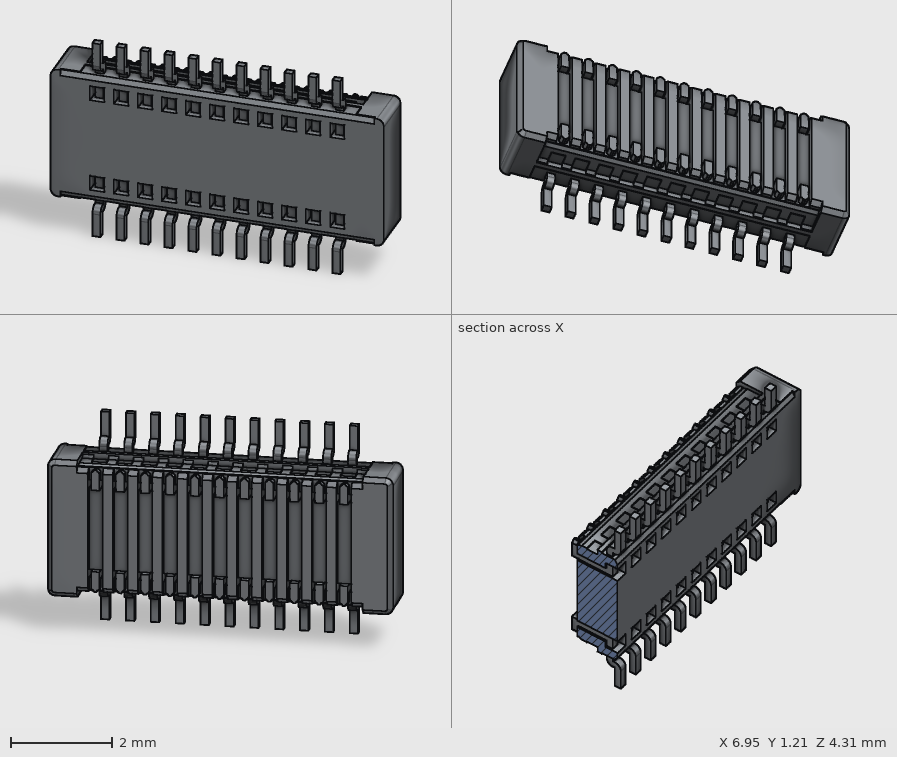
import cadquery as cq
import math

LENGTH = 6.95
HEIGHT = 2.83
DEPTH = 1.155
CORNER_RADIUS = 0.15
MATING_CHAMFER = 0.1
END_CHAMFER_DEPTH = 0.11
HALF_LENGTH = LENGTH / 2
HALF_HEIGHT = HEIGHT / 2

TOWER_LENGTH = 0.6
CENTER_LENGTH = LENGTH - 2 * TOWER_LENGTH
PIN_RECESS_DROP = 0.02
PIN_RECESS_TOP = 0.39
RIB_TOP = 0.5
RIB_SLOPE = 0.06
WALL_DROP = 0.105
WALL_SLOPE_START = 0.875
WALL_SLOPE_END = 0.98
SLOT_FLOOR = 1.0
WALL_SLOPE_DROP = 0.145
TOOTH_DROP = 0.13

BEVEL_END_MARGIN = 0.2
BEVEL_DEPTH = 0.06
BEVEL_DROP = 0.125

CONTACTS_PER_ROW = 11
PITCH = 0.5
SLOT_WIDTH = 0.3
SLOT_OUTER_DROP = 0.26
SLOT_THROUGH_DROP = 0.4
SLOT_INNER_DROP = 0.57
POCKET_TOP = 0.76
POCKET_DROP = 0.125

CONTACT_WIDTH = 0.17
CONTACT_THICKNESS = 0.15
FOOT_OFFSET = 0.05
FOOT_OVERHANG = 0.74
BEND_START = 0.08
LEG_BOTTOM = 0.145
TIP_DROP = 0.15
TIP_BEVEL = 0.06

POSITIONS = [(i - (CONTACTS_PER_ROW - 1) / 2) * PITCH for i in range(CONTACTS_PER_ROW)]


def box(width, y_range, z_range):
    """Axis-aligned block centred on X = 0."""
    (y0, y1), (z0, z1) = y_range, z_range
    block = cq.Workplane("XY").box(width, y1 - y0, z1 - z0, centered=(True, False, False))
    return block.translate((0, y0, z0))


def side_prism(points, width):
    """Extrude a (Y, drop) outline along X, centred on X = 0."""
    outline = [(y, HALF_HEIGHT - drop) for y, drop in points]
    return cq.Workplane("YZ").polyline(outline).close().extrude(width / 2, both=True)


def on_both_sides(shape):
    """The shape together with its mirror image on the opposite long side."""
    return shape.union(shape.mirror("XY"))


def along_row(shape):
    """Copies of a shape at every contact position."""
    row = cq.Workplane("XY")
    for x in POSITIONS:
        row = row.add(shape.translate((x, 0, 0)))
    return row


def housing_block():
    """Rounded block, chamfered around the mating face with slightly longer flats at the two ends."""
    block = box(LENGTH, (0, DEPTH), (-HALF_HEIGHT, HALF_HEIGHT))
    block = block.edges("|Y").fillet(CORNER_RADIUS)
    block = block.faces(">Y").edges().chamfer(MATING_CHAMFER)
    end_outline = [
        (HALF_LENGTH, DEPTH),
        (HALF_LENGTH - MATING_CHAMFER, DEPTH),
        (HALF_LENGTH, DEPTH - END_CHAMFER_DEPTH),
    ]
    end_cutter = cq.Workplane("XY").polyline(end_outline).close().extrude(HALF_HEIGHT, both=True)
    return block.cut(end_cutter).cut(end_cutter.mirror("YZ"))


def pin_recess():
    return box(CENTER_LENGTH, (0, PIN_RECESS_TOP), (HALF_HEIGHT - PIN_RECESS_DROP, HALF_HEIGHT))


def mounting_bevel():
    outline = [(0, 0), (BEVEL_DEPTH, 0), (BEVEL_DEPTH, PIN_RECESS_DROP), (0, BEVEL_DROP)]
    return side_prism(outline, LENGTH - 2 * BEVEL_END_MARGIN)


def wall_recess():
    tooth_top = DEPTH - MATING_CHAMFER
    outline = [
        (RIB_TOP, 0),
        (RIB_TOP, WALL_DROP - RIB_SLOPE),
        (RIB_TOP + RIB_SLOPE, WALL_DROP),
        (WALL_SLOPE_START, WALL_DROP),
        (WALL_SLOPE_END, WALL_SLOPE_DROP),
        (WALL_SLOPE_END, TOOTH_DROP),
        (tooth_top, TOOTH_DROP),
        (DEPTH, TOOTH_DROP + MATING_CHAMFER),
        (DEPTH, 0),
    ]
    return side_prism(outline, CENTER_LENGTH)


def contact_openings():
    """Side pocket plus the stepped opening that runs from the mounting face to the slot floor."""
    outer, through, inner, pocket = (
        HALF_HEIGHT - drop for drop in (SLOT_OUTER_DROP, SLOT_THROUGH_DROP, SLOT_INNER_DROP, POCKET_DROP)
    )
    leg_top = LEG_BOTTOM + CONTACT_THICKNESS
    openings = box(SLOT_WIDTH, (0, leg_top), (inner, outer))
    openings = openings.union(box(SLOT_WIDTH, (0, DEPTH), (inner, through)))
    return openings.union(box(SLOT_WIDTH, (RIB_TOP, POCKET_TOP), (pocket, HALF_HEIGHT)))


def mating_slot():
    return box(SLOT_WIDTH, (SLOT_FLOOR, DEPTH), (-HALF_HEIGHT, HALF_HEIGHT))


def contact():
    """Foot, S-bend, leg into the housing, riser and bevelled tip over the wall."""
    t = CONTACT_THICKNESS
    foot_inner = t - FOOT_OFFSET
    leg_top = LEG_BOTTOM + t
    bend_low = HALF_HEIGHT + BEND_START
    bend_high = bend_low + t
    foot_end = HALF_HEIGHT + FOOT_OVERHANG
    inner = HALF_HEIGHT - SLOT_INNER_DROP
    riser_outer = HALF_HEIGHT - SLOT_THROUGH_DROP
    tip_outer = HALF_HEIGHT - TIP_DROP
    arc = t * math.sin(math.radians(45))

    profile = (
        cq.Workplane("YZ")
        .moveTo(-FOOT_OFFSET, foot_end)
        .lineTo(-FOOT_OFFSET, bend_high)
        .threePointArc((foot_inner - arc, bend_high - arc), (foot_inner, bend_low))
        .lineTo(LEG_BOTTOM, bend_low)
        .lineTo(LEG_BOTTOM, inner)
        .lineTo(DEPTH, inner)
        .lineTo(DEPTH, tip_outer)
        .lineTo(SLOT_FLOOR, tip_outer)
        .lineTo(SLOT_FLOOR, riser_outer)
        .lineTo(leg_top, riser_outer)
        .lineTo(leg_top, bend_low)
        .threePointArc((LEG_BOTTOM + arc, bend_low + arc), (LEG_BOTTOM, bend_high))
        .lineTo(foot_inner, bend_high)
        .lineTo(foot_inner, foot_end)
        .close()
        .extrude(CONTACT_WIDTH / 2, both=True)
    )
    tip_middle = (0, (SLOT_FLOOR + DEPTH) / 2, tip_outer)
    tip_face = profile.faces(cq.selectors.NearestToPointSelector(tip_middle))
    return tip_face.edges("|Y").chamfer(TIP_BEVEL)


housing = housing_block()
for cutter in (pin_recess(), mounting_bevel(), wall_recess()):
    housing = housing.cut(on_both_sides(cutter))
housing = housing.cut(along_row(on_both_sides(contact_openings())))
housing = housing.cut(along_row(mating_slot()))

result = housing.union(along_row(on_both_sides(contact())))